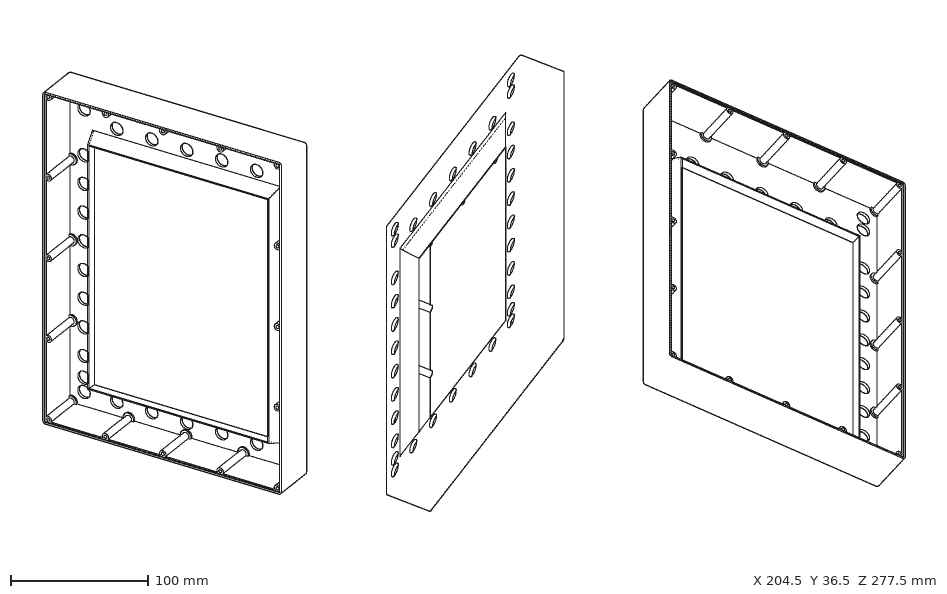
import cadquery as cq
width = 204.5
depth = 36.5
height = 277.5
wall = 2.5
corner_radius = 2.5
back_edge_radius = 2.0
front_y = -depth / 2
back_y = depth / 2
plate_y = back_y - wall

rim_step_width = 1.0
rim_step_depth = 1.0
ledge_y = front_y + rim_step_depth

window_width = 153.2
window_top = 90.0
window_bottom = -112.7
collar_height = 11.7
tip_y = plate_y - collar_height
collar_land = 1.0
side_taper = 3.0
top_taper = 5.5
bottom_taper = 4.0

hole_diameter = 10.5
side_hole_x = 88.0
row_pitch = 30.0
row_half_count = 2
top_row_z = 103.5
bottom_row_z = -124.5
column_count = 8
column_top_z = 73.3
column_bottom_z = -94.5
column_pitch = (column_top_z - column_bottom_z) / (column_count - 1)
corner_pair_pitch = 12.0
corner_top_z = 123.5

post_diameter = 5.5
post_foot_diameter = 9.2
post_foot_height = 1.5
screw_diameter = 2.5
post_x = 98.2
post_z = 134.9
post_pitch_x = post_x / 2
post_pitch_z = 67.5


def block(size_x, size_z, center_z, y_start, y_end):
    """Rectangular block centred on X, between two Y levels."""
    length = y_end - y_start
    return cq.Workplane("XY").box(size_x, length, size_z).translate((0, (y_start + y_end) / 2, center_z))


def cylinders(points, diameter, y_start, y_end):
    """Cylinders along Y at (x, z) points, between two Y levels."""
    base = cq.Workplane(cq.Plane((0, y_start, 0), (1, 0, 0), (0, -1, 0)))
    return base.pushPoints(points).circle(diameter / 2).extrude(y_start - y_end)


def tray():
    """Open box with rounded outer edges and a stepped rim."""
    body = block(width, height, 0, front_y, back_y)
    body = body.edges("|Y").fillet(corner_radius)
    body = body.faces(">Y").edges().fillet(back_edge_radius)
    cavity = block(width - 2 * wall, height - 2 * wall, 0, front_y, plate_y)
    rim_inset = 2 * (wall - rim_step_width)
    recess = block(width - rim_inset, height - rim_inset, 0, front_y, ledge_y)
    return body.cut(cavity).cut(recess)


def tapered_block(margin, y_start):
    """Block around the window that widens from the collar tip to the back at the collar's taper."""
    spread = (y_start - tip_y) / collar_height
    tip_width = window_width + 2 * margin
    tip_height = window_top - window_bottom + 2 * margin
    tip_center = (window_top + window_bottom) / 2
    base_width = tip_width + 2 * side_taper * spread
    base_height = tip_height + (top_taper + bottom_taper) * spread
    base_center = tip_center + (top_taper - bottom_taper) / 2 * spread
    return (
        cq.Workplane(cq.Plane((0, y_start, 0), (1, 0, 0), (0, -1, 0)))
        .center(0, base_center)
        .rect(base_width, base_height)
        .workplane(offset=y_start - tip_y)
        .center(0, tip_center - base_center)
        .rect(tip_width, tip_height)
        .loft(ruled=True)
    )


def plate_hole_points():
    """Two rows and two columns of holes, with a close pair at each end of a column."""
    row_x = [i * row_pitch for i in range(-row_half_count, row_half_count + 1)]
    points = [(x, z) for x in row_x for z in (top_row_z, bottom_row_z)]
    column_z = [column_bottom_z + i * column_pitch for i in range(column_count)]
    column_z += [corner_top_z, corner_top_z - corner_pair_pitch]
    column_z += [bottom_row_z, bottom_row_z + corner_pair_pitch]
    return points + [(x, z) for x in (-side_hole_x, side_hole_x) for z in column_z]


def post_points():
    """Posts in the corners and spaced evenly along the four walls."""
    row_x = [-post_x, -post_pitch_x, 0, post_pitch_x, post_x]
    points = [(x, z) for x in row_x for z in (-post_z, post_z)]
    column_z = [-post_pitch_z, 0, post_pitch_z]
    return points + [(x, z) for x in (-post_x, post_x) for z in column_z]


def posts():
    """Screw posts with wide feet, merging into the walls without breaking through them."""
    shafts = cylinders(post_points(), post_diameter, plate_y, ledge_y)
    feet = cylinders(post_points(), post_foot_diameter, plate_y, plate_y - post_foot_height)
    mid_wall_block = block(width - wall, height - wall, 0, front_y, back_y)
    return shafts.union(feet).intersect(mid_wall_block)


result = (
    tray()
    .union(tapered_block(collar_land, plate_y))
    .union(posts())
    .cut(tapered_block(0, back_y))
    .cut(cylinders(plate_hole_points(), hole_diameter, back_y, plate_y))
    .cut(cylinders(post_points(), screw_diameter, plate_y, ledge_y))
)